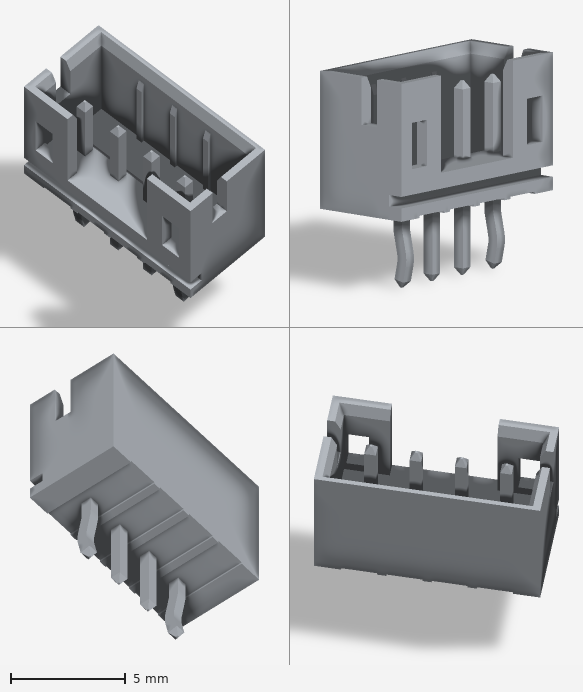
import cadquery as cq
import math

OVERSHOOT = 0.1

LENGTH = 10.0
DEPTH = 4.7
HEIGHT = 6.1
SIDE_WALL = 0.6
FRONT_WALL = 0.59
REAR_WALL = 0.45
LEAD_IN_WIDTH = 0.25
LEAD_IN_HEIGHT = 0.5

FRONT_FLOOR = 1.8
REAR_FLOOR = 1.16
STEP_TOP_Y = 2.1
STEP_BOTTOM_Y = 2.58

FRONT_OPENING_WIDTH = 4.76
SIDE_SLOT_Y = 1.4
SIDE_SLOT_WIDTH = 0.89
SIDE_SLOT_DEPTH = 2.1
WINDOW_WIDTH = 1.0
WINDOW_CENTER_X = 3.8
WINDOW_BOTTOM = 2.23
WINDOW_TOP = 4.28

GROOVE_BOTTOM = 0.59
GROOVE_TOP = 1.1
GROOVE_DEPTH = 0.7

RIB_WIDTH = 0.3
RIB_THICKNESS = 0.15
RIB_TOP = 5.14
RIB_SHOULDER = 4.7

PIN_SIZE = 0.51
PIN_PITCH = 2.0
PIN_Y = 1.74
PIN_TOP = 5.21
PIN_BOTTOM = -3.39
TIP_LENGTH = 0.34
TIP_SIZE = 0.1
INNER_PIN_X = (-PIN_PITCH / 2, PIN_PITCH / 2)
OUTER_PIN_X = (-1.5 * PIN_PITCH, 1.5 * PIN_PITCH)
RIB_CENTERS = (-PIN_PITCH, 0.0, PIN_PITCH)

KINK_ANGLE = math.radians(12.0)
KINK_START = -0.68
KINK_ENTRY_RADIUS = 1.3
KINK_CREST_Z = -2.09
KINK_CREST_RADIUS = 1.3

RELIEF_WIDTH = 1.6
RELIEF_DEPTH = 0.1


def box_between(x_range, y_range, z_range):
    """Axis-aligned box spanning the given (low, high) ranges."""
    spans = [high - low for low, high in (x_range, y_range, z_range)]
    corner = (x_range[0], y_range[0], z_range[0])
    return cq.Workplane("XY").box(*spans, centered=False).translate(corner)


def make_cavity():
    """Cutter for the cavity: stepped floor, straight walls and a bevelled mouth."""
    inner_length = LENGTH - 2 * SIDE_WALL
    rear_y = DEPTH - REAR_WALL
    well = (
        cq.Workplane("YZ")
        .polyline([
            (FRONT_WALL, HEIGHT),
            (FRONT_WALL, FRONT_FLOOR),
            (STEP_TOP_Y, FRONT_FLOOR),
            (STEP_BOTTOM_Y, REAR_FLOOR),
            (rear_y, REAR_FLOOR),
            (rear_y, HEIGHT),
        ])
        .close()
        .extrude(inner_length / 2, both=True)
    )
    inner_depth = rear_y - FRONT_WALL
    lead_in = (
        cq.Workplane("XY", origin=(0, (FRONT_WALL + rear_y) / 2, HEIGHT))
        .rect(inner_length + 2 * LEAD_IN_WIDTH, inner_depth + 2 * LEAD_IN_WIDTH)
        .workplane(offset=-LEAD_IN_HEIGHT)
        .rect(inner_length, inner_depth)
        .loft(ruled=True)
    )
    return well.union(lead_in)


def make_openings():
    """Cutters for the front opening, the side slots, the windows and the front groove."""
    through_x = (-LENGTH / 2 - OVERSHOOT, LENGTH / 2 + OVERSHOOT)
    front_y = (-OVERSHOOT, FRONT_WALL)
    above = HEIGHT + OVERSHOOT
    half_opening = FRONT_OPENING_WIDTH / 2
    cutters = [
        box_between((-half_opening, half_opening), front_y, (FRONT_FLOOR, above)),
        box_between(
            through_x, (SIDE_SLOT_Y, SIDE_SLOT_Y + SIDE_SLOT_WIDTH), (HEIGHT - SIDE_SLOT_DEPTH, above)
        ),
        box_between(through_x, (-OVERSHOOT, GROOVE_DEPTH), (GROOVE_BOTTOM, GROOVE_TOP)),
    ]
    for center in (-WINDOW_CENTER_X, WINDOW_CENTER_X):
        window_x = (center - WINDOW_WIDTH / 2, center + WINDOW_WIDTH / 2)
        cutters.append(box_between(window_x, front_y, (WINDOW_BOTTOM, WINDOW_TOP)))
    return cutters


def make_rib(center_x):
    """Vertical rib on the rear wall whose top slopes back to the wall."""
    wall_y = DEPTH - REAR_WALL
    face_y = wall_y - RIB_THICKNESS
    return (
        cq.Workplane("YZ", origin=(center_x, 0, 0))
        .polyline([
            (wall_y, REAR_FLOOR),
            (face_y, REAR_FLOOR),
            (face_y, RIB_SHOULDER),
            (wall_y, RIB_TOP),
        ])
        .close()
        .extrude(RIB_WIDTH / 2, both=True)
    )


def make_housing():
    """Open-topped shroud with a square hole through its floor for each pin."""
    body = box_between((-LENGTH / 2, LENGTH / 2), (0, DEPTH), (0, HEIGHT)).cut(make_cavity())
    for opening in make_openings():
        body = body.cut(opening)
    for center in RIB_CENTERS:
        body = body.union(make_rib(center))
    half_pin = PIN_SIZE / 2
    for x in INNER_PIN_X + OUTER_PIN_X:
        relief_x = (x - RELIEF_WIDTH / 2, x + RELIEF_WIDTH / 2)
        body = body.cut(box_between(relief_x, (-OVERSHOOT, DEPTH + OVERSHOOT), (-OVERSHOOT, RELIEF_DEPTH)))
        hole_x = (x - half_pin, x + half_pin)
        body = body.cut(box_between(hole_x, (PIN_Y - half_pin, PIN_Y + half_pin), (0, HEIGHT)))
    return body


def make_tip(plane):
    """Tapered square tip rising from the given plane."""
    taper = math.degrees(math.atan((PIN_SIZE - TIP_SIZE) / 2 / TIP_LENGTH))
    return cq.Workplane(plane).rect(PIN_SIZE, PIN_SIZE).extrude(TIP_LENGTH, taper=taper)


def make_shaft(x, bottom):
    """Straight square shaft from the given bottom up to and including the upper tip."""
    shoulder = PIN_TOP - TIP_LENGTH
    shaft = cq.Workplane("XY", origin=(x, PIN_Y, bottom)).rect(PIN_SIZE, PIN_SIZE).extrude(shoulder - bottom)
    return shaft.union(make_tip(cq.Plane((x, PIN_Y, shoulder))))


def make_straight_pin(x):
    """Straight pin, pointed at both ends."""
    bottom = PIN_BOTTOM + TIP_LENGTH
    lower_tip = make_tip(cq.Plane((x, PIN_Y, bottom), xDir=(1, 0, 0), normal=(0, 0, -1)))
    return make_shaft(x, bottom).union(lower_tip)


def make_kinked_pin(x):
    """Pin whose tail bows toward the front and back again around a rounded crest."""
    sine, cosine = math.sin(KINK_ANGLE), math.cos(KINK_ANGLE)
    half_sine, half_cosine = math.sin(KINK_ANGLE / 2), math.cos(KINK_ANGLE / 2)

    entry_end = (PIN_Y - KINK_ENTRY_RADIUS * (1 - cosine), KINK_START - KINK_ENTRY_RADIUS * sine)
    entry_middle = (PIN_Y - KINK_ENTRY_RADIUS * (1 - half_cosine), KINK_START - KINK_ENTRY_RADIUS * half_sine)
    crest_start_z = KINK_CREST_Z + KINK_CREST_RADIUS * sine
    crest_start = (entry_end[0] - (entry_end[1] - crest_start_z) * math.tan(KINK_ANGLE), crest_start_z)
    crest = (crest_start[0] - KINK_CREST_RADIUS * (1 - cosine), KINK_CREST_Z)
    crest_end = (crest_start[0], 2 * KINK_CREST_Z - crest_start_z)
    tail_end_z = PIN_BOTTOM + TIP_LENGTH * cosine
    tail_end = (crest_end[0] + (crest_end[1] - tail_end_z) * math.tan(KINK_ANGLE), tail_end_z)

    center_line = (
        cq.Workplane("YZ", origin=(x, 0, 0))
        .moveTo(PIN_Y, KINK_START)
        .threePointArc(entry_middle, entry_end)
        .lineTo(*crest_start)
        .threePointArc(crest, crest_end)
        .lineTo(*tail_end)
    )
    tail = cq.Workplane("XY", origin=(x, PIN_Y, KINK_START)).rect(PIN_SIZE, PIN_SIZE).sweep(center_line)
    tip_plane = cq.Plane((x, *tail_end), xDir=(1, 0, 0), normal=(0, sine, -cosine))
    return make_shaft(x, KINK_START).union(tail).union(make_tip(tip_plane))


housing = make_housing()
straight_pins = [make_straight_pin(x).val() for x in INNER_PIN_X]
kinked_pins = [make_kinked_pin(x).val() for x in OUTER_PIN_X]

result = cq.Compound.makeCompound([housing.val(), *straight_pins, *kinked_pins])